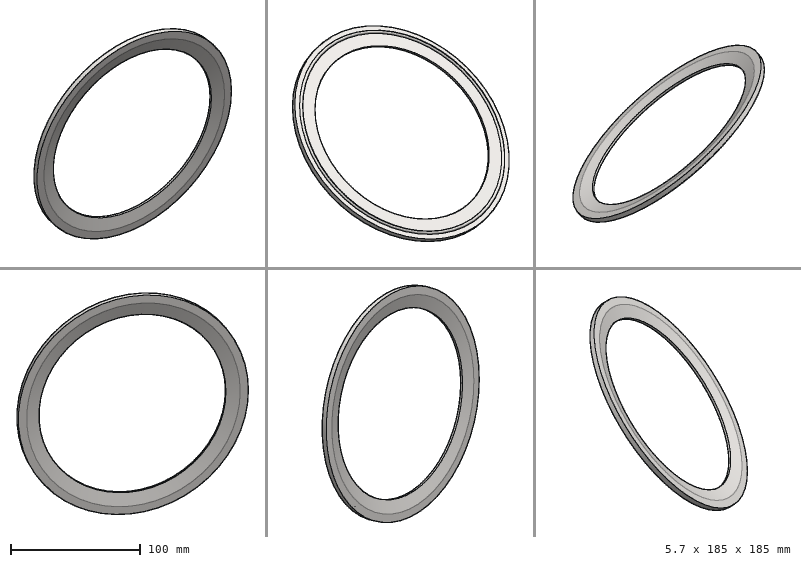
import cadquery as cq

outer_radius = 92.5
bore_radius = 75.1
total_thickness = 5.7
bead_height = 1.5
bead_half_width = 1.3
bead_circle_radius = 87.1
lip_rise = 0.2
lip_edge_thickness = 2.0

rim_thickness = total_thickness - bead_height
bead_inner_radius = bead_circle_radius - bead_half_width
bead_outer_radius = bead_circle_radius + bead_half_width


def make_profile():
    """Half section of the ring: X along the axis, Y as radius, front face at X = 0."""
    return (
        cq.Workplane("XY")
        .moveTo(-lip_rise, bore_radius)
        .lineTo(0, bead_inner_radius)
        .threePointArc((-bead_height, bead_circle_radius), (0, bead_outer_radius))
        .lineTo(0, outer_radius)
        .lineTo(rim_thickness, outer_radius)
        .lineTo(rim_thickness, bead_inner_radius)
        .lineTo(lip_edge_thickness - lip_rise, bore_radius)
        .close()
    )


result = make_profile().revolve(360, (0, 0), (1, 0))